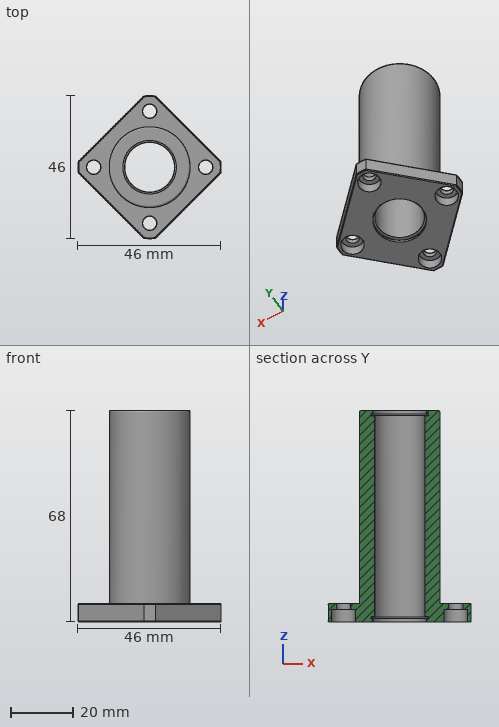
import cadquery as cq

total_length = 68.0
sleeve_diameter = 26.0
sleeve_edge_fillet = 0.6

flange_thickness = 6.0
flange_width = 35.0
flange_corner_diameter = 46.0
flange_edge_chamfer = 0.3

bore_diameter = 16.0
recess_diameter = 17.2
recess_depth = 1.1
groove_diameter = 18.4
groove_end_depth = 1.65

bolt_count = 4
bolt_circle_diameter = 36.0
bolt_hole_diameter = 4.5
counterbore_diameter = 7.5
counterbore_depth = 4.0


def make_cylinder(diameter, height, base_z=0.0):
    return cq.Workplane("XY").workplane(offset=base_z).circle(diameter / 2).extrude(height)


def make_flange():
    square = cq.Workplane("XY").rect(flange_width, flange_width).extrude(flange_thickness)
    diamond = square.rotate((0, 0, 0), (0, 0, 1), 45)
    flange = diamond.intersect(make_cylinder(flange_corner_diameter, flange_thickness))
    return flange.faces("<Z or >Z").edges().chamfer(flange_edge_chamfer)


def make_sleeve():
    sleeve = make_cylinder(sleeve_diameter, total_length)
    return sleeve.faces(">Z").edges().fillet(sleeve_edge_fillet)


def cut_bore(body):
    bore = make_cylinder(bore_diameter, total_length)
    recess = make_cylinder(recess_diameter, recess_depth)
    groove = make_cylinder(groove_diameter, groove_end_depth - recess_depth, recess_depth)
    lower_end = recess.union(groove)
    upper_end = lower_end.mirror("XY").translate((0, 0, total_length))
    return body.cut(bore).cut(lower_end).cut(upper_end)


def cut_bolt_holes(body):
    hole = make_cylinder(bolt_hole_diameter, flange_thickness)
    counterbore = make_cylinder(counterbore_diameter, counterbore_depth)
    bolt_cutter = hole.union(counterbore).translate((bolt_circle_diameter / 2, 0, 0))
    for index in range(bolt_count):
        angle = index * 360.0 / bolt_count
        body = body.cut(bolt_cutter.rotate((0, 0, 0), (0, 0, 1), angle))
    return body


result = cut_bolt_holes(cut_bore(make_flange().union(make_sleeve())))